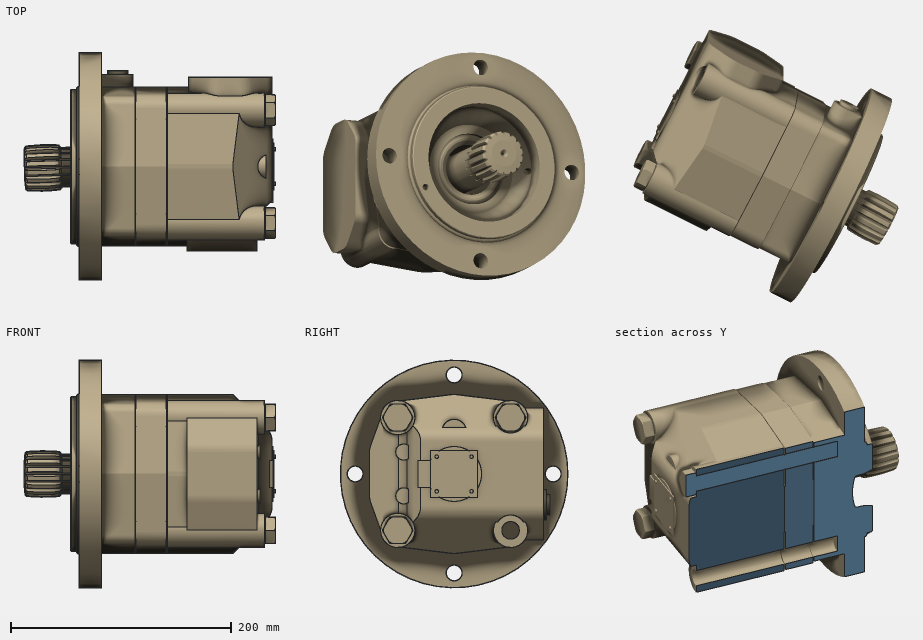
import cadquery as cq
import math


SHAFT_TIP = -50.0
BOLT_END = 178.5
PILOT_FRONT = -7.8
PILOT_STEP = -2.5
FLANGE_REAR = 20.4
HOUSING_REAR = 50.8
STATOR_FRONT = 51.3
STATOR_REAR = 79.2
COVER_FRONT = 80.1
LUG_END = 168.3
COVER_REAR = 175.4

RIDGE = 72.3
BOLT_OFFSET = 51.3
BOLT_D = 16.0
NECK_R = 57.2
BORE_R = 23.1

FLANGE_R = 103.5
PILOT_R = 70.3
PILOT_STEP_R = 72.8
PILOT_EDGE = 0.7
PILOT_STEP_ROUND = 2.3
MOUNT_CIRCLE_R = 90.0
MOUNT_HOLE_D = 14.2
RECESS_MOUTH_R = 55.0
RECESS_R = 54.0
RECESS_FLOOR_R = 41.0
RECESS_TAPER_LENGTH = 17.2
RECESS_DEPTH = 30.2
COLLAR_BASE_R = 32.7
COLLAR_TOP_R = 29.0
COLLAR_MOUTH_R = 27.0
COLLAR_HEIGHT = 2.3
COLLAR_GROOVE_DEPTH = 4.1
SMALL_HOLE_D = 6.0
FACE_HOLE_Y = 57.7
FACE_HOLE_DEPTH = 6.9
CONE_HOLE_Y = -51.5
CONE_HOLE_DEPTH = 9.2

HOUSING_CORNER_C = 55.0
HOUSING_CORNER_R = 9.0
STATOR_CORNER_R = 14.7

DRAIN_X = 35.0
DRAIN_Z = -28.0
DRAIN_R = 14.0
DRAIN_TOP = 83.8
PLUG_D = 18.3
PLUG_TOP = 87.2

RIDGE_HALF = 2.0
FACE_END = 48.0
FACE_END_OFFSET = 66.6
LUG_R = 15.5
SLOPE_SUM = 212.0
REAR_ROUND_R = 17.2
SIDE_STEP_X = 162.8
SIDE_SLOPE_SUM = 205.8
SLOPE_BOSS_Z = 38.5
SLOPE_BOSS_R = 11.2
SLOPE_BOSS_END = 169.9

BLOCK_FRONT = 98.2
BLOCK_REAR = 161.5
BLOCK_Y = 77.0
BLOCK_EDGE_Y = 66.5
BLOCK_INNER_Y = 50.4
BLOCK_FLAT_Z = 23.0
BLOCK_EDGE_Z = 52.2
BLOCK_ROUND_R = 18.3
BUMP_D = 14.7
BUMP_Y = -45.8
BUMP_Z = 20.0
BUMP_END = 164.1

PORT_Y = 81.3
PORT_FRONT = 99.1
PORT_TOP = 60.0
PORT_CREST_X = 137.0
PORT_TOP_R = 15.5
PORT_FRONT_R = 11.7

PAD_R = 25.0
PAD_THICKNESS = 1.0
TONGUE_FRONT = 172.2
TONGUE_Y = 32.7
TONGUE_HALF_WIDTH = 12.4
PLATE_SIZE = 42.5
PLATE_THICKNESS = 1.0
RIVET_OFFSET = 15.8
RIVET_D = 3.2

BOLT_TIP = 27.5
HEX_FLATS = 24.3
WASHER_D = 22.5
WASHER_THICKNESS = 1.0
HEX_CHAMFER = 1.1
HEX_CORNERS = HEX_FLATS / math.cos(math.radians(30))

SHAFT_END = 73.3
STATOR_BORE_END = 75.5
SHAFT_TILT = 2.0
SHAFT_PIVOT_X = 2.3
SHAFT_R = 18.0
TIP_FACE_R = 12.4
TIP_CONE_LENGTH = 0.7
CROWN_R = 21.3
CROWN_EDGE_R = 20.5
CROWN_FRONT = -47.6
CROWN_REAR = -18.0
CROWN_SHOULDER = -16.0
TOOTH_TIP_FRONT_R = 19.0
TOOTH_COUNT = 16
GROOVE_ROOT_R = 17.6
GROOVE_ROOT_WIDTH = 1.4
GROOVE_TOP_WIDTH = 4.5
GROOVE_END = -4.5
GROOVE_CLEARANCE = 2.3
CENTRE_D = 7.0
CENTRE_CONE_DEPTH = 2.7
CENTRE_PILOT_D = 2.3
CENTRE_DEPTH = 5.7


def cylinder(diameter, x_start, x_end, y=0.0, z=0.0):
    """Cylinder along X."""
    return (
        cq.Workplane("YZ", origin=(x_start, 0, 0))
        .center(y, z)
        .circle(diameter / 2)
        .extrude(x_end - x_start)
    )


def box(x_range, y_range, z_range):
    """Box between the limits given for each axis."""
    size = [high - low for low, high in (x_range, y_range, z_range)]
    return cq.Workplane("XY").box(*size, centered=False).translate(
        (x_range[0], y_range[0], z_range[0])
    )


def revolve_about_x(points):
    """Solid of revolution about X from (x, radius) points."""
    return cq.Workplane("XY").polyline(points).close().revolve(360, (0, 0, 0), (1, 0, 0))


BOLT_CENTRES = [(sy * BOLT_OFFSET, sz * BOLT_OFFSET) for sy in (-1, 1) for sz in (-1, 1)]


def bolt_holes(x_start, x_end, diameter=BOLT_D):
    """Cylinders at all four bolt positions, for cutting."""
    holes = cq.Workplane("YZ", origin=(x_start, 0, 0)).pushPoints(BOLT_CENTRES)
    return holes.circle(diameter / 2).extrude(x_end - x_start)


def ridged_square(x_start, x_end, corner_centre, corner_radius):
    """Square prism with a shallow ridge along each side and rounded corners."""
    to_ridge = RIDGE - corner_centre
    distance = math.hypot(to_ridge, corner_centre)
    slope = math.acos(corner_radius / distance) - math.atan2(corner_centre, to_ridge)
    along = corner_centre + corner_radius * math.sin(slope)
    out = corner_centre + corner_radius * math.cos(slope)
    middle = corner_centre + corner_radius * math.sqrt(0.5)

    outline = cq.Workplane("YZ", origin=(x_start, 0, 0)).moveTo(RIDGE, 0)
    for quarter in range(4):
        turn = math.radians(90 * quarter)

        def turned(y, z):
            return (
                y * math.cos(turn) - z * math.sin(turn),
                y * math.sin(turn) + z * math.cos(turn),
            )

        outline = outline.lineTo(*turned(out, along))
        outline = outline.threePointArc(turned(middle, middle), turned(along, out))
        if quarter < 3:
            outline = outline.lineTo(*turned(0, RIDGE))
    return outline.close().extrude(x_end - x_start)


def make_housing():
    body = ridged_square(FLANGE_REAR, HOUSING_REAR, HOUSING_CORNER_C, HOUSING_CORNER_R)
    flange = cylinder(2 * FLANGE_R, 0, FLANGE_REAR)
    pilot_step = cylinder(2 * PILOT_STEP_R, PILOT_STEP, 0).faces("<X").edges().fillet(PILOT_STEP_ROUND)
    pilot = cylinder(2 * PILOT_R, PILOT_FRONT, 0).faces("<X").edges().chamfer(PILOT_EDGE)
    body = body.union(flange).union(pilot_step).union(pilot)

    drain = (
        cq.Workplane("XZ")
        .center(DRAIN_X, DRAIN_Z)
        .circle(DRAIN_R)
        .extrude(-DRAIN_TOP)
        .union(box((FLANGE_REAR, DRAIN_X), (0, DRAIN_TOP), (DRAIN_Z - DRAIN_R, DRAIN_Z + DRAIN_R)))
    )
    plug = cq.Workplane("XZ").center(DRAIN_X, DRAIN_Z).circle(PLUG_D / 2).extrude(-PLUG_TOP)
    body = body.union(drain).union(plug)

    cone_x = PILOT_FRONT + RECESS_TAPER_LENGTH
    floor_x = PILOT_FRONT + RECESS_DEPTH
    groove_x = floor_x + COLLAR_GROOVE_DEPTH
    recess = revolve_about_x([
        (PILOT_FRONT, 0),
        (PILOT_FRONT, RECESS_MOUTH_R),
        (cone_x, RECESS_R),
        (floor_x, RECESS_FLOOR_R),
        (floor_x, COLLAR_BASE_R),
        (groove_x, COLLAR_BASE_R),
        (groove_x - COLLAR_HEIGHT, COLLAR_TOP_R),
        (groove_x - COLLAR_HEIGHT, COLLAR_MOUTH_R),
        (groove_x, BORE_R),
        (HOUSING_REAR, BORE_R),
        (HOUSING_REAR, 0),
    ])
    body = body.cut(recess)

    for turn in range(4):
        hole = cylinder(MOUNT_HOLE_D, 0, FLANGE_REAR, y=MOUNT_CIRCLE_R)
        body = body.cut(hole.rotate((0, 0, 0), (1, 0, 0), 90 * turn))
    face_hole = cylinder(SMALL_HOLE_D, PILOT_FRONT, PILOT_FRONT + FACE_HOLE_DEPTH, FACE_HOLE_Y, DRAIN_Z)
    cone_hole = cylinder(SMALL_HOLE_D, cone_x, cone_x + CONE_HOLE_DEPTH, CONE_HOLE_Y)
    return body.cut(face_hole).cut(cone_hole).cut(bolt_holes(BOLT_TIP, HOUSING_REAR))


def make_stator():
    body = ridged_square(STATOR_FRONT, STATOR_REAR, BOLT_OFFSET, STATOR_CORNER_R)
    body = body.union(cylinder(2 * NECK_R, HOUSING_REAR, COVER_FRONT))
    body = body.cut(cylinder(2 * BORE_R, HOUSING_REAR, STATOR_BORE_END))
    return body.cut(bolt_holes(STATOR_FRONT, STATOR_REAR))


def cover_section():
    """Prism with a flat ridge strip and two shallow slopes on each side."""
    points = []
    for quarter in range(4):
        cos_turn, sin_turn = [(1, 0), (0, 1), (-1, 0), (0, -1)][quarter]
        for y, z in [
            (FACE_END_OFFSET, -FACE_END),
            (RIDGE, -RIDGE_HALF),
            (RIDGE, RIDGE_HALF),
            (FACE_END_OFFSET, FACE_END),
        ]:
            points.append((y * cos_turn - z * sin_turn, y * sin_turn + z * cos_turn))
    section = cq.Workplane("YZ", origin=(COVER_FRONT, 0, 0)).polyline(points).close()
    return section.extrude(COVER_REAR - COVER_FRONT)


def side_prism(points, y_start, y_end):
    """Prism along Y from an (x, z) outline."""
    outline = cq.Workplane("XZ", origin=(0, y_start, 0)).polyline(points).close()
    return outline.extrude(y_start - y_end)


def cover_envelope():
    """Upper and lower 45 degree slopes with the rounded rear edges."""
    edge_x = SLOPE_SUM - RIDGE
    rear_z = SLOPE_SUM - COVER_REAR
    points = [
        (COVER_FRONT, -RIDGE),
        (edge_x, -RIDGE),
        (COVER_REAR, -rear_z),
        (COVER_REAR, rear_z),
        (edge_x, RIDGE),
        (COVER_FRONT, RIDGE),
    ]
    return side_prism(points, -PORT_Y, PORT_Y).edges("|Y and >X").fillet(REAR_ROUND_R)


def port_block():
    """Port block on the +Y side, its slopes in line with those of the cover."""
    rear_crest = SLOPE_SUM - PORT_TOP
    front_crest = 2 * PORT_CREST_X - rear_crest
    front_z = PORT_TOP - (front_crest - PORT_FRONT)
    rear_z = SLOPE_SUM - COVER_REAR
    upper = [
        (PORT_FRONT, front_z),
        (front_crest, PORT_TOP),
        (rear_crest, PORT_TOP),
        (COVER_REAR, rear_z),
    ]
    lower = [(x, -z) for x, z in reversed(upper)]
    block = side_prism(upper + lower, 0, PORT_Y)
    block = block.edges("|Y and <X").fillet(PORT_FRONT_R)
    block = block.edges("|Y and >X").fillet(REAR_ROUND_R)
    for side in (">Z", "<Z"):
        block = block.faces(side).edges("|Y").fillet(PORT_TOP_R)
    return block


def plain_block():
    """Block on the -Y side with a flat middle and two sloping faces."""
    points = [
        (-BLOCK_INNER_Y, -BLOCK_EDGE_Z),
        (-BLOCK_EDGE_Y, -BLOCK_EDGE_Z),
        (-BLOCK_Y, -BLOCK_FLAT_Z),
        (-BLOCK_Y, BLOCK_FLAT_Z),
        (-BLOCK_EDGE_Y, BLOCK_EDGE_Z),
        (-BLOCK_INNER_Y, BLOCK_EDGE_Z),
    ]
    block = cq.Workplane("YZ", origin=(BLOCK_FRONT, 0, 0)).polyline(points).close()
    block = block.extrude(BLOCK_REAR - BLOCK_FRONT)
    return block.edges("|X and <Y").fillet(BLOCK_ROUND_R)


def name_plate():
    """Round pad with a tongue, the square plate on it and its four rivets."""
    plate_front = COVER_REAR + PAD_THICKNESS
    plate_rear = plate_front + PLATE_THICKNESS
    half = PLATE_SIZE / 2
    plate = cylinder(2 * PAD_R, TONGUE_FRONT, plate_front)
    plate = plate.union(
        box((TONGUE_FRONT, plate_front), (-TONGUE_Y, 0), (-TONGUE_HALF_WIDTH, TONGUE_HALF_WIDTH))
    )
    plate = plate.union(box((plate_front, plate_rear), (-half, half), (-half, half)))
    for y in (-RIVET_OFFSET, RIVET_OFFSET):
        for z in (-RIVET_OFFSET, RIVET_OFFSET):
            plate = plate.union(cylinder(RIVET_D, plate_front, BOLT_END, y, z))
    return plate


def make_cover():
    body = cover_section().intersect(cover_envelope())

    step_y = SIDE_SLOPE_SUM - SIDE_STEP_X
    rear_y = SIDE_SLOPE_SUM - COVER_REAR
    side_cut = (
        cq.Workplane("XY", origin=(0, 0, -RIDGE))
        .polyline([
            (SIDE_STEP_X, -step_y),
            (COVER_REAR, -rear_y),
            (COVER_REAR, -RIDGE),
            (BLOCK_REAR, -RIDGE),
            (BLOCK_REAR, -BLOCK_INNER_Y),
            (SIDE_STEP_X, -BLOCK_INNER_Y),
        ])
        .close()
        .extrude(2 * RIDGE)
    )
    body = body.cut(side_cut)

    for y, z in BOLT_CENTRES:
        body = body.union(cylinder(2 * LUG_R, COVER_FRONT, LUG_END, y, z))
    for z in (-BUMP_Z, BUMP_Z):
        body = body.union(cylinder(BUMP_D, BLOCK_FRONT, BUMP_END, BUMP_Y, z))
    body = body.union(cylinder(2 * SLOPE_BOSS_R, BLOCK_FRONT, SLOPE_BOSS_END, 0, SLOPE_BOSS_Z))
    body = body.union(port_block()).union(plain_block()).union(name_plate())
    body = body.cut(bolt_holes(COVER_FRONT, LUG_END))
    return body.cut(bolt_holes(LUG_END, BOLT_END, HEX_CORNERS))


def make_bolt(y, z):
    washer_rear = LUG_END + WASHER_THICKNESS
    head = (
        cq.Workplane("YZ", origin=(washer_rear, 0, 0))
        .center(y, z)
        .polygon(6, HEX_CORNERS)
        .extrude(BOLT_END - washer_rear)
    )
    rounding = cylinder(HEX_CORNERS, washer_rear, BOLT_END, y, z).faces(">X").edges().chamfer(HEX_CHAMFER)
    shank = cylinder(BOLT_D, BOLT_TIP, washer_rear, y, z)
    washer = cylinder(WASHER_D, LUG_END, washer_rear, y, z)
    return head.intersect(rounding).union(washer).union(shank)


def spline_groove():
    """One groove between two teeth, at +Z, running out along the shaft."""
    outer = CROWN_R + GROOVE_CLEARANCE
    flare = (GROOVE_TOP_WIDTH - GROOVE_ROOT_WIDTH) / (CROWN_R - GROOVE_ROOT_R)
    half_root = GROOVE_ROOT_WIDTH / 2
    half_outer = half_root + flare * (outer - GROOVE_ROOT_R) / 2
    return (
        cq.Workplane("YZ", origin=(SHAFT_TIP, 0, 0))
        .polyline([
            (-half_root, GROOVE_ROOT_R),
            (half_root, GROOVE_ROOT_R),
            (half_outer, outer),
            (-half_outer, outer),
        ])
        .close()
        .extrude(GROOVE_END - SHAFT_TIP)
    )


def make_shaft():
    shaft = (
        cq.Workplane("XY")
        .moveTo(SHAFT_TIP, 0)
        .lineTo(SHAFT_TIP, TIP_FACE_R)
        .lineTo(SHAFT_TIP + TIP_CONE_LENGTH, TOOTH_TIP_FRONT_R)
        .lineTo(CROWN_FRONT, CROWN_EDGE_R)
        .threePointArc(((CROWN_FRONT + CROWN_REAR) / 2, CROWN_R), (CROWN_REAR, CROWN_EDGE_R))
        .lineTo(CROWN_SHOULDER, SHAFT_R)
        .lineTo(SHAFT_END, SHAFT_R)
        .lineTo(SHAFT_END, 0)
        .close()
        .revolve(360, (0, 0, 0), (1, 0, 0))
    )
    groove = spline_groove()
    for tooth in range(TOOTH_COUNT):
        shaft = shaft.cut(groove.rotate((0, 0, 0), (1, 0, 0), 360 / TOOTH_COUNT * tooth))
    centre = revolve_about_x([
        (SHAFT_TIP, 0),
        (SHAFT_TIP, CENTRE_D / 2),
        (SHAFT_TIP + CENTRE_CONE_DEPTH, CENTRE_PILOT_D / 2),
        (SHAFT_TIP + CENTRE_DEPTH, CENTRE_PILOT_D / 2),
        (SHAFT_TIP + CENTRE_DEPTH, 0),
    ])
    pivot = (SHAFT_PIVOT_X, 0, 0)
    return shaft.cut(centre).rotate(pivot, (SHAFT_PIVOT_X, 0, 1), SHAFT_TILT)


housing = make_housing()
stator = make_stator()
cover = make_cover()
shaft = make_shaft()

bolts = [make_bolt(y, z) for y, z in BOLT_CENTRES if not (y > 0 and z < 0)]

result = cq.Compound.makeCompound(
    [housing.val(), stator.val(), cover.val(), shaft.val()] + [bolt.val() for bolt in bolts]
)